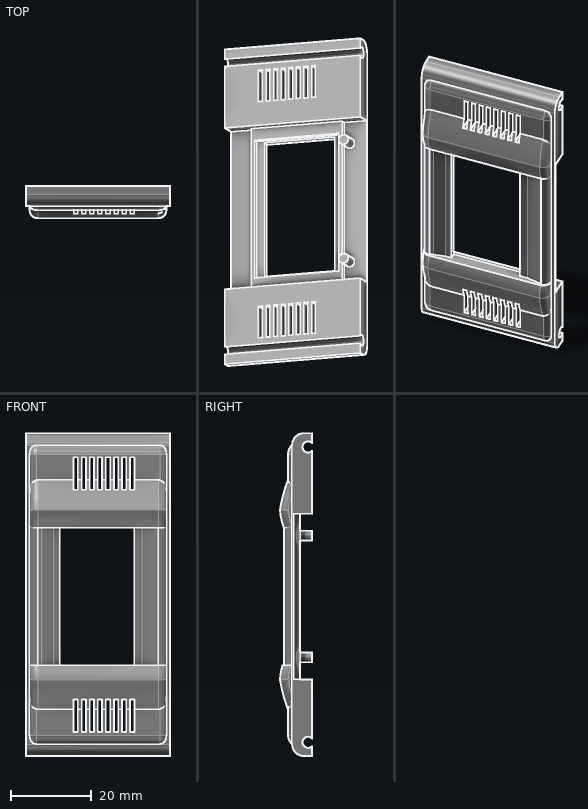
import cadquery as cq
import math

width = 35.8
depth = 8.0
height = 80.0

step = depth / 8
plate_y = -5 * step
panel_y = -6 * step
rail_y = -7 * step
crest_y = -depth

end_radius = 3 * step
raised_half_width = 17.0
side_radius = 2 * step
panel_end_z = height / 2 - end_radius

hump_foot_z = 28.4
crest_z = 21.0
hump_bulge = 0.2

opening_z = -0.5
window_left = -9.4
window_right = 9.0
window_height = 34.0
relief_height = 41.0
window_bottom_z = opening_z - window_height / 2
window_top_z = opening_z + window_height / 2
relief_y = -4.5 * step
rib_y = -3 * step
rib_outer_x = 12.0
rib_inner_x = 11.0
window_margin = 0.5

bezel_slope = 0.2
left_slope_outer_x = -14.0
left_slope_inner_x = -11.0
right_slope_inner_x = 10.9

slot_count = 8
slot_pitch = 2.0
slot_width = slot_pitch / 2
slot_length = 8.0
slot_centre_z = 30.0
first_slot_x = -5.5

pin_diameter = 2.5
pin_x = -13.4
pin_spacing = 30.2
groove_radius = 1.4
groove_y = -step
groove_z = 36.6


def box(x_min, x_max, y_min, y_max, z_min, z_max):
    """Axis-aligned box between the given limits."""
    size = (x_max - x_min, y_max - y_min, z_max - z_min)
    return cq.Workplane("XY").box(*size, centered=False).translate((x_min, y_min, z_min))


def barrel(start, end):
    """Round-edged disc about an X axis, bulging out of the chord start-end, both (y, z)."""
    dy = end[0] - start[0]
    dz = end[1] - start[1]
    chord = math.hypot(dy, dz)
    radius = chord**2 / (8 * hump_bulge) + hump_bulge / 2
    inset = radius - hump_bulge
    axis_y = (start[0] + end[0]) / 2 - inset * dz / chord
    axis_z = (start[1] + end[1]) / 2 + inset * dy / chord
    disc = cq.Workplane("YZ").center(axis_y, axis_z).circle(radius).extrude(raised_half_width, both=True)
    return disc.edges().fillet(side_radius)


def base_plate():
    """Full-size plate with its front top and bottom edges rounded."""
    plate = box(-width / 2, width / 2, plate_y, 0, -height / 2, height / 2)
    return plate.edges("|X and <Y").fillet(end_radius)


def base_slab():
    """Region of the plate's flat front, used to trim what stands on it."""
    return box(-width / 2, width / 2, -depth, relief_y, -panel_end_z, panel_end_z)


def panel():
    """Low raised panel; its rounded sides and ends sink into the plate."""
    side_run = math.sqrt(side_radius**2 - (side_radius - step) ** 2)
    end_run = math.sqrt(end_radius**2 - (end_radius - step) ** 2)
    half_x = raised_half_width + side_radius - side_run
    half_z = panel_end_z + end_radius - end_run
    solid = box(-half_x, half_x, panel_y, 0, -half_z, half_z)
    rounded_ends = solid.edges("|X and <Y").fillet(end_radius)
    rounded_all_round = rounded_ends.edges("|Z and <Y").fillet(side_radius)
    return rounded_all_round.intersect(base_slab())


def hump(inner_z):
    """Upper hump, from inner_z outwards: two shallow convex faces meeting at a crest."""
    foot = (panel_y, hump_foot_z)
    crest = (crest_y, crest_z)
    lip = (rail_y, window_top_z)
    block = box(-width / 2, width / 2, crest_y, relief_y, inner_z, hump_foot_z)
    return block.intersect(barrel(foot, crest)).intersect(barrel(crest, lip))


def rails():
    """Block joining the humps, with rounded sides; the bezel cut splits it into two rails."""
    block = box(-raised_half_width, raised_half_width, rail_y, 0, -crest_z, crest_z)
    return block.edges("|Z and <Y").fillet(side_radius).intersect(base_slab())


def bezel_cut():
    """Hollow between the rails: sloped flanks running down to the panel level."""
    tangent_x = raised_half_width - side_radius
    ledge_y = panel_y - bezel_slope * (left_slope_inner_x - left_slope_outer_x)
    right_slope_y = panel_y - bezel_slope * (tangent_x - right_slope_inner_x)
    return (
        cq.Workplane("XY", origin=(0, 0, window_bottom_z))
        .moveTo(-tangent_x, -depth)
        .lineTo(-tangent_x, ledge_y)
        .lineTo(left_slope_outer_x, ledge_y)
        .lineTo(left_slope_inner_x, panel_y)
        .lineTo(right_slope_inner_x, panel_y)
        .lineTo(tangent_x, right_slope_y)
        .lineTo(tangent_x, -depth)
        .close()
        .extrude(window_height)
    )


def window_cut():
    """Rectangular opening through the whole depth."""
    return box(window_left, window_right, -depth, 0, window_bottom_z, window_top_z)


def back_relief():
    """Recess across the back, leaving a shallower rib on each side of the window."""
    relief_bottom_z = opening_z - relief_height / 2
    relief_top_z = opening_z + relief_height / 2
    recess = box(-width / 2, width / 2, rib_y, 0, relief_bottom_z, relief_top_z)
    for x_min, x_max in ((-width / 2, -rib_outer_x), (rib_outer_x, width / 2)):
        recess = recess.union(box(x_min, x_max, relief_y, 0, relief_bottom_z, relief_top_z))
    around_bottom_z = window_bottom_z - window_margin
    around_top_z = window_top_z + window_margin
    around_window = box(-rib_inner_x, rib_inner_x, relief_y, 0, around_bottom_z, around_top_z)
    return recess.union(around_window)


def vent_slots():
    """Row of through slots above the window and another below it."""
    rows = [
        (first_slot_x + i * slot_pitch, z)
        for z in (-slot_centre_z, slot_centre_z)
        for i in range(slot_count)
    ]
    return cq.Workplane("XZ").pushPoints(rows).rect(slot_width, slot_length).extrude(depth)


def grooves():
    """Round grooves along X, open to the back near the top and bottom ends."""
    centres = [(groove_y, -groove_z), (groove_y, groove_z)]
    return cq.Workplane("YZ").pushPoints(centres).circle(groove_radius).extrude(width / 2, both=True)


def pins():
    """Two pins standing on the relief face behind the left rail."""
    centres = [(pin_x, opening_z + side * pin_spacing / 2) for side in (-1, 1)]
    return cq.Workplane("XZ").pushPoints(centres).circle(pin_diameter / 2).extrude(-relief_y)


upper_hump = hump(window_top_z)
lower_hump = hump(-window_bottom_z).mirror("XY")
body = base_plate()
for raised_part in (panel(), rails(), upper_hump, lower_hump):
    body = body.union(raised_part)
for cut in (window_cut(), bezel_cut(), back_relief(), vent_slots(), grooves()):
    body = body.cut(cut)

result = body.union(pins())